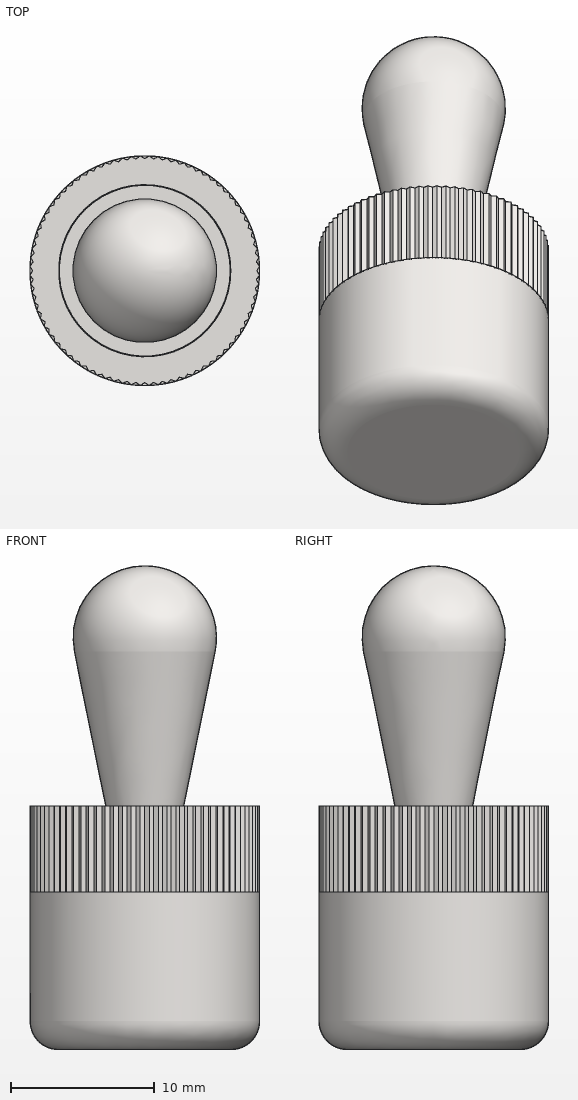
import cadquery as cq
import math

total_height = 33.7

housing_diameter = 16.0
housing_height = 17.0
bottom_fillet = 2.0
knurl_height = 6.0
groove_count = 80
groove_depth = 0.2

insert_diameter = 11.9
recess_diameter = 12.0
insert_depth = knurl_height

ball_diameter = 10.0
neck_half_angle = math.radians(11.5)

housing_radius = housing_diameter / 2
knurl_base = housing_height - knurl_height
insert_base = housing_height - insert_depth

ball_radius = ball_diameter / 2
ball_center = total_height - ball_radius
tangent_radius = ball_radius * math.cos(neck_half_angle)
tangent_height = ball_center - ball_radius * math.sin(neck_half_angle)
shank_radius = tangent_radius - (tangent_height - housing_height) * math.tan(neck_half_angle)


def polar_point(radius, angle):
    return (radius * math.cos(angle), radius * math.sin(angle))


def knurled_band():
    """Ring of V grooves that meet in sharp crests on the housing diameter."""
    pitch = 2 * math.pi / groove_count
    root_radius = housing_radius - groove_depth
    outline = []
    for groove in range(groove_count):
        root_angle = groove * pitch
        outline.append(polar_point(root_radius, root_angle))
        outline.append(polar_point(housing_radius, root_angle + pitch / 2))
    return cq.Workplane("XY", origin=(0, 0, knurl_base)).polyline(outline).close().extrude(knurl_height)


def make_housing():
    """Knurled cup with a rounded bottom edge and a recess for the insert."""
    barrel = cq.Workplane("XY").circle(housing_radius).extrude(knurl_base)
    barrel = barrel.faces("<Z").edges().fillet(bottom_fillet)
    recess = (
        cq.Workplane("XY", origin=(0, 0, insert_base))
        .circle(recess_diameter / 2)
        .extrude(insert_depth)
    )
    return barrel.union(knurled_band()).cut(recess)


def make_insert():
    """Disc standing on the recess floor, flush with the housing top and bored for the shank."""
    return (
        cq.Workplane("XY", origin=(0, 0, insert_base))
        .circle(insert_diameter / 2)
        .circle(shank_radius)
        .extrude(insert_depth)
    )


def make_lever():
    """Revolved half profile: shank, tangent neck, ball."""
    return (
        cq.Workplane("XZ")
        .moveTo(0, insert_base)
        .lineTo(shank_radius, insert_base)
        .lineTo(shank_radius, housing_height)
        .lineTo(tangent_radius, tangent_height)
        .threePointArc((ball_radius, ball_center), (0, total_height))
        .close()
        .revolve(360, (0, 0, 0), (0, 1, 0))
    )


housing = make_housing()
insert = make_insert()
lever = make_lever()

result = cq.Compound.makeCompound([housing.val(), insert.val(), lever.val()])